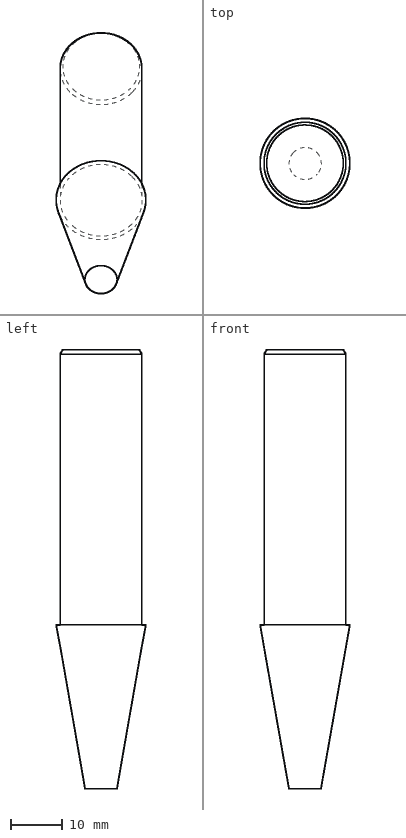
import cadquery as cq
import math

TOTAL_LENGTH = 85.7
HEAD_LENGTH = 32.0
HEAD_DIAMETER = 17.56
HEAD_HALF_ANGLE = 10.0
SHANK_DIAMETER = 16.0
CHAMFER_LENGTH = 0.9
CHAMFER_ANGLE = 30.0

SHANK_LENGTH = TOTAL_LENGTH - HEAD_LENGTH


def make_head():
    """Conical head, narrow at the bottom, with flat ends."""
    base_radius = HEAD_DIAMETER / 2
    tip_radius = base_radius - HEAD_LENGTH * math.tan(math.radians(HEAD_HALF_ANGLE))
    return (
        cq.Workplane("XZ")
        .moveTo(0, 0)
        .lineTo(tip_radius, 0)
        .lineTo(base_radius, HEAD_LENGTH)
        .lineTo(0, HEAD_LENGTH)
        .close()
        .revolve(360, (0, 0), (0, 1))
    )


def make_shank():
    """Round shank standing on the flat top of the head, chamfered at its free end."""
    chamfer_depth = CHAMFER_LENGTH * math.tan(math.radians(CHAMFER_ANGLE))
    return (
        cq.Workplane("XY", origin=(0, 0, HEAD_LENGTH))
        .circle(SHANK_DIAMETER / 2)
        .extrude(SHANK_LENGTH)
        .faces(">Z")
        .chamfer(CHAMFER_LENGTH, chamfer_depth)
    )


head = make_head()
shank = make_shank()

result = cq.Compound.makeCompound([head.val(), shank.val()])